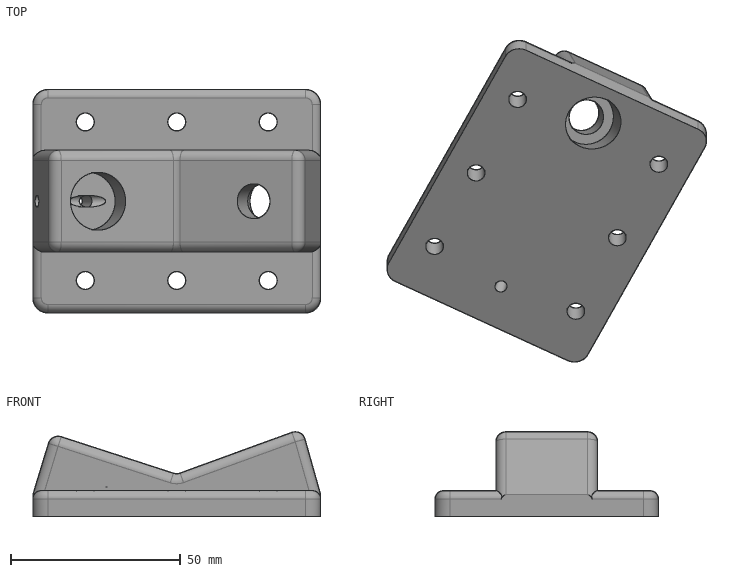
import cadquery as cq
import math

base_length = 85.0
base_width = 66.0
base_height = 7.7
base_corner_radius = 4.5
base_edge_radius = 2.5

screw_diameter = 5.2
screw_pitch = 27.0
screw_row_spacing = 46.8

saddle_width = 30.1
saddle_radius = 3.0
valley_height = 12.55
crest_offset = 37.0
left_slope = 18.0
right_slope = 20.0
end_face_foot_height = 6.5

socket_x = -23.23
socket_diameter = 17.1
socket_depth = 10.0
pilot_diameter = 3.5

cross_hole_diameter = 3.5
cross_hole_height = 10.6
cross_hole_end_x = -20.0

bore_x = 22.68
bore_diameter = 10.25
bore_depth = 9.0
counterbore_diameter = 16.15

entry_clearance = 3.0
clear_length = 60.0


def slope_height(x):
    """Height of the unrounded saddle surface at x."""
    slope = left_slope if x < 0 else right_slope
    return valley_height + abs(x) * math.tan(math.radians(slope))


def make_base():
    plate = cq.Workplane("XY").box(base_length, base_width, base_height, centered=(True, True, False))
    return plate.edges("|Z").fillet(base_corner_radius).faces(">Z").edges().fillet(base_edge_radius)


def make_saddle():
    half_length = base_length / 2

    def end_face_x_at_bottom(crest_height):
        run_per_height = (half_length - crest_offset) / (crest_height - end_face_foot_height)
        return half_length + end_face_foot_height * run_per_height

    left_crest = slope_height(-crest_offset)
    right_crest = slope_height(crest_offset)
    outline = [
        (-end_face_x_at_bottom(left_crest), 0),
        (-crest_offset, left_crest),
        (0, valley_height),
        (crest_offset, right_crest),
        (end_face_x_at_bottom(right_crest), 0),
    ]
    block = cq.Workplane("XZ").polyline(outline).close().extrude(saddle_width / 2, both=True)
    block = block.edges("not <Z").fillet(saddle_radius)

    trim_height = 2 * max(left_crest, right_crest)
    trim = cq.Workplane("XY").box(base_length, base_width, trim_height)
    return block.intersect(trim)


def slope_cylinder(x, diameter, start_depth, end_depth):
    """Cylinder square to the slope at x, between two depths below its surface."""
    tilt = math.radians(left_slope if x < 0 else right_slope)
    inward = cq.Vector(math.copysign(math.sin(tilt), x), 0, -math.cos(tilt))
    start = cq.Vector(x, 0, slope_height(x)) + inward * start_depth
    return cq.Solid.makeCylinder(diameter / 2, end_depth - start_depth, start, inward)


def make_screw_holes():
    positions = [
        (column * screw_pitch, side * screw_row_spacing / 2)
        for column in (-1, 0, 1)
        for side in (-1, 1)
    ]
    return cq.Workplane("XY").pushPoints(positions).circle(screw_diameter / 2).extrude(base_height)


def make_cross_hole():
    start_x = -base_length / 2
    start = cq.Vector(start_x, 0, cross_hole_height)
    length = cross_hole_end_x - start_x
    return cq.Solid.makeCylinder(cross_hole_diameter / 2, length, start, cq.Vector(1, 0, 0))


result = make_base().union(make_saddle())
result = result.cut(make_screw_holes())

result = result.cut(slope_cylinder(socket_x, socket_diameter, -entry_clearance, socket_depth))
result = result.cut(slope_cylinder(socket_x, pilot_diameter, 0, clear_length))
result = result.cut(make_cross_hole())

result = result.cut(slope_cylinder(bore_x, bore_diameter, -entry_clearance, clear_length))
result = result.cut(slope_cylinder(bore_x, counterbore_diameter, bore_depth, clear_length))